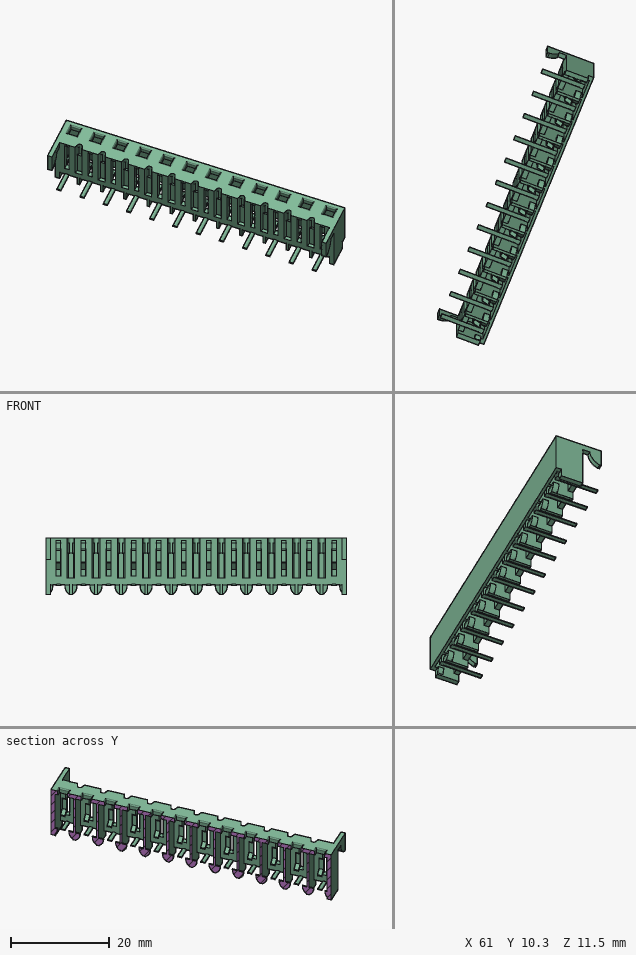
import cadquery as cq

LENGTH = 60.95
HEIGHT = 11.5
BODY_DEPTH = 6.0
FOOT_HEIGHT = 1.95
FOOT_SETBACK = 1.15
CONTACT_COUNT = 12
PITCH = LENGTH / CONTACT_COUNT

END_WALL = 1.0
ARM_REACH = 10.05
ARM_DEPTH = 1.45
HOOK_DROP = 4.4
HOOK_GAP = 1.5
HOOK_TIP = 0.35
HOOK_BULGE = (0.75, 1.9)

PARTITION = 0.55
PEG_HALF_WIDTH = 1.2
PEG_TIP_HALF_WIDTH = 0.25
PEG_ARC_HALF_WIDTH = 1.0
PEG_ARC_HEIGHT = 0.75
PEG_DEPTH = 1.2
END_PEG_INSET = 0.2

ROOF = 1.1
FRONT_WALL = 1.1
BACK_WALL = 0.6
MOUTH_WIDTH = 2.1
MOUTH_DEPTH = 1.95
MOUTH_BACK = 1.1
LIP_RADIUS = 0.25
SLOT_WIDTH = 0.9
SLOT_TOP_DROP = 0.55
SLOT_BOTTOM_DROP = 7.75

GROOVE_WIDTH = 1.5
GROOVE_FLOOR_WIDTH = 1.05
GROOVE_DEPTH = 0.75
GROOVE_LENGTH = 8.1
BORE_RADIUS = 0.55
BORE_SETBACK = 0.6
BORE_LENGTH = 3.1

SPRING_WIDTH = 1.0
LEG_BACK = -MOUTH_BACK
SHEET = 0.2
LEAF_DROP = 2.25
BEVEL_HEIGHT = 0.3
BEND_DROP = 5.1
UNDERSIDE_DROP = 6.4
TAIL_WIDTH = 0.9
TAIL_REACH = 10.3
TAIL_BOTTOM = 1.8
TAIL_SIDE_HEIGHT = 0.2
TAIL_HEIGHT = 0.35

FRONT = -BODY_DEPTH
HOLLOW_TOP = HEIGHT - ROOF
HOLLOW_Y = (FRONT + FRONT_WALL, -BACK_WALL)
MOUTH_Y = (-MOUTH_BACK - MOUTH_DEPTH, -MOUTH_BACK)
MOUTH_FRONT = MOUTH_Y[0]

contact_places = [(i - (CONTACT_COUNT - 1) / 2) * PITCH for i in range(CONTACT_COUNT)]
groove_places = [x + PITCH / 2 for x in contact_places[:-1]]
end_peg_place = LENGTH / 2 - END_PEG_INSET
peg_places = [-end_peg_place] + groove_places + [end_peg_place]


def block(x_range, y_range, z_range):
    """Box between the given limits on each axis."""
    (x0, x1), (y0, y1), (z0, z1) = x_range, y_range, z_range
    return cq.Workplane("XY").box(x1 - x0, y1 - y0, z1 - z0, centered=False).translate((x0, y0, z0))


def centered_block(x, width, y_range, z_range):
    """Box of the given width centered on x."""
    return block((x - width / 2, x + width / 2), y_range, z_range)


def side_plate(outline, x_start, thickness):
    """Extrude an outline drawn in Y and Z along X."""
    return outline.extrude(thickness).translate((x_start, 0, 0))


def end_wall(x_start):
    """Full-height wall with a forward arm that ends in a hook."""
    hook_bottom = HEIGHT - HOOK_DROP
    arm_bottom = HEIGHT - ARM_DEPTH
    bulge_out, bulge_down = HOOK_BULGE
    hook_back = FRONT - HOOK_GAP
    outline = (
        cq.Workplane("YZ")
        .moveTo(0, FOOT_HEIGHT)
        .lineTo(0, HEIGHT)
        .lineTo(-ARM_REACH, HEIGHT)
        .lineTo(-ARM_REACH, hook_bottom)
        .lineTo(-ARM_REACH + HOOK_TIP, hook_bottom)
        .threePointArc((hook_back - bulge_out, arm_bottom - bulge_down), (hook_back, arm_bottom))
        .lineTo(FRONT, arm_bottom)
        .lineTo(FRONT, 0)
        .lineTo(-FOOT_SETBACK, 0)
        .lineTo(-FOOT_SETBACK, FOOT_HEIGHT)
        .close()
    )
    return side_plate(outline, x_start, END_WALL)


def peg(x):
    """Tapered, rounded peg at the back of the foot."""
    return (
        cq.Workplane("XZ", origin=(x, -FOOT_SETBACK, 0))
        .moveTo(-PEG_HALF_WIDTH, FOOT_HEIGHT)
        .threePointArc((-PEG_ARC_HALF_WIDTH, PEG_ARC_HEIGHT), (-PEG_TIP_HALF_WIDTH, 0))
        .lineTo(PEG_TIP_HALF_WIDTH, 0)
        .threePointArc((PEG_ARC_HALF_WIDTH, PEG_ARC_HEIGHT), (PEG_HALF_WIDTH, FOOT_HEIGHT))
        .close()
        .extrude(PEG_DEPTH)
    )


def partition(x):
    """Thin wall between two contacts, from the roof down."""
    return centered_block(x, PARTITION, (FRONT, -BACK_WALL), (FOOT_HEIGHT, HEIGHT))


def rib(x):
    """Continuation of a partition below the body, set back like the foot."""
    return centered_block(x, PARTITION, (FRONT, -FOOT_SETBACK), (0, FOOT_HEIGHT))


def groove(x):
    """Tapered groove in the front face with a deeper round bore at its top."""
    bottom = HEIGHT - GROOVE_LENGTH
    channel = (
        cq.Workplane("XY", origin=(x, FRONT, bottom))
        .moveTo(-GROOVE_WIDTH / 2, 0)
        .lineTo(-GROOVE_FLOOR_WIDTH / 2, GROOVE_DEPTH)
        .lineTo(GROOVE_FLOOR_WIDTH / 2, GROOVE_DEPTH)
        .lineTo(GROOVE_WIDTH / 2, 0)
        .close()
        .extrude(GROOVE_LENGTH)
    )
    bore = (
        cq.Workplane("XY", origin=(x, FRONT + BORE_SETBACK, HEIGHT - BORE_LENGTH))
        .circle(BORE_RADIUS)
        .extrude(BORE_LENGTH)
    )
    return channel.union(bore)


def mouth(x):
    """Square opening through the roof above a contact."""
    return centered_block(x, MOUTH_WIDTH, MOUTH_Y, (HOLLOW_TOP, HEIGHT))


def slot(x):
    """Narrow upright slot through the front wall."""
    slot_z = (HEIGHT - SLOT_BOTTOM_DROP, HEIGHT - SLOT_TOP_DROP)
    return centered_block(x, SLOT_WIDTH, (FRONT, FRONT + FRONT_WALL), slot_z)


def round_mouth_edges(body):
    """Round the top edges of all the mouths."""
    reach = LENGTH / 2 - END_WALL
    low_corner = (-reach, MOUTH_FRONT - LIP_RADIUS, HEIGHT - LIP_RADIUS / 2)
    high_corner = (reach, -MOUTH_BACK + LIP_RADIUS, HEIGHT + LIP_RADIUS / 2)
    return body.edges(cq.selectors.BoxSelector(low_corner, high_corner)).fillet(LIP_RADIUS)


def contact_spring(x):
    """Upright leaf in front of the mouth, carried by a sloping top on a leg."""
    leaf_front = MOUTH_FRONT - SHEET
    leaf_top = HEIGHT - LEAF_DROP
    bend = HEIGHT - BEND_DROP
    underside_end = HEIGHT - UNDERSIDE_DROP
    leg_front = leaf_front + bend - underside_end
    slope_top = bend + SHEET
    outline = (
        cq.Workplane("YZ")
        .moveTo(LEG_BACK, TAIL_BOTTOM)
        .lineTo(LEG_BACK, slope_top - (LEG_BACK - MOUTH_FRONT))
        .lineTo(MOUTH_FRONT, slope_top)
        .lineTo(MOUTH_FRONT, leaf_top)
        .lineTo(leaf_front, leaf_top - BEVEL_HEIGHT)
        .lineTo(leaf_front, bend)
        .lineTo(leg_front, underside_end)
        .lineTo(leg_front, TAIL_BOTTOM)
        .close()
    )
    return side_plate(outline, x - SPRING_WIDTH / 2, SPRING_WIDTH)


def contact_tail(x):
    """Solder tail with a flat underside and a rounded top, running out at the front."""
    return (
        cq.Workplane("XZ", origin=(x, LEG_BACK, TAIL_BOTTOM))
        .moveTo(-TAIL_WIDTH / 2, 0)
        .lineTo(TAIL_WIDTH / 2, 0)
        .lineTo(TAIL_WIDTH / 2, TAIL_SIDE_HEIGHT)
        .threePointArc((0, TAIL_HEIGHT), (-TAIL_WIDTH / 2, TAIL_SIDE_HEIGHT))
        .close()
        .extrude(TAIL_REACH + LEG_BACK)
    )


def combined(make, places):
    """One compound holding a copy of the feature at every place."""
    return cq.Workplane(cq.Compound.makeCompound([make(x).val() for x in places]))


half_length = LENGTH / 2
envelope = block((-half_length, half_length), (FRONT, 0), (0, HEIGHT))
hollow_x = (END_WALL - half_length, half_length - END_WALL)

housing = block((-half_length, half_length), (FRONT, 0), (FOOT_HEIGHT, HEIGHT))
housing = housing.cut(combined(mouth, contact_places))
housing = round_mouth_edges(housing)
housing = housing.cut(block(hollow_x, HOLLOW_Y, (FOOT_HEIGHT, HOLLOW_TOP)))
housing = housing.union(combined(partition, groove_places))
housing = housing.union(combined(rib, groove_places))
housing = housing.union(combined(peg, peg_places))
housing = housing.intersect(envelope)
housing = housing.union(combined(end_wall, [-half_length, half_length - END_WALL]))
housing = housing.cut(combined(groove, groove_places))
housing = housing.cut(combined(slot, contact_places))

contacts = combined(contact_spring, contact_places).union(combined(contact_tail, contact_places))
result = housing.union(contacts)